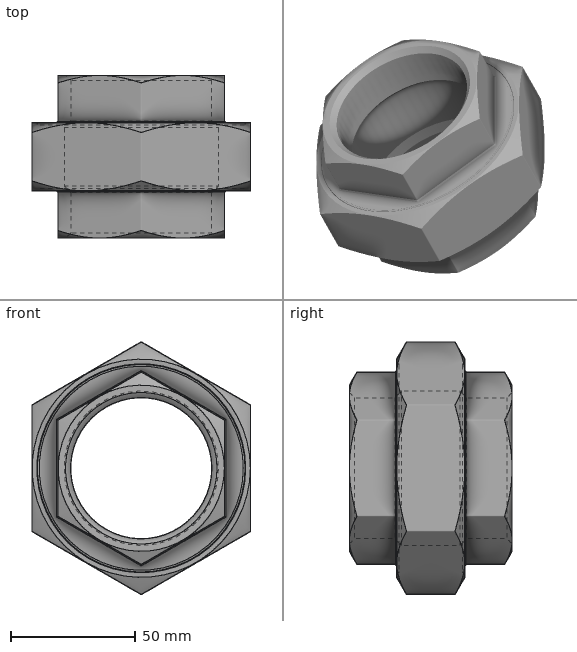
import cadquery as cq
import math

FLAT_RATIO = math.cos(math.pi / 6)

total_length = 65.5
nut_height = 101.5
corner_rounding = 0.4
hex_chamfer_angle = math.radians(30)

nut_across_flats = (nut_height - 2 * corner_rounding) * FLAT_RATIO + 2 * corner_rounding
nut_length = 27.5
nut_face_diameter = 87.7
nut_opening_diameter = 84.0

collar_diameter = 83.5
collar_face_diameter = 82.0
collar_rim_step = 0.1
collar_gap_depth = 1.0

end_across_flats = 67.0
end_face_diameter = 66.8
end_root_chamfer = 0.5
end_root_taper = 45

bore_diameter = 56.6
bore_mouth_diameter = 60.9
chamber_diameter = 62.0
chamber_length = 28.9


def revolved(profile):
    """Solid of revolution about Y from (radius, y) points."""
    return cq.Workplane("XY").polyline(profile).close().revolve(360, (0, 0), (0, 1))


def hex_prism(across_flats, y, length, taper=0):
    """Hexagonal prism from the given Y toward +Y, with corners at the top and bottom."""
    plane = cq.Plane(origin=(0, y, 0), xDir=(0, 0, 1), normal=(0, 1, 0))
    outline = cq.Workplane(plane).polygon(6, across_flats / FLAT_RATIO)
    return outline.extrude(length, taper=taper)


def chamfered_hex(across_flats, length, face_diameter):
    """Hexagonal prism centred on the origin, corners rounded and both ends turned to a cone."""
    corner_radius = across_flats / FLAT_RATIO / 2
    face_radius = face_diameter / 2
    half = length / 2
    shoulder = half - (corner_radius - face_radius) * math.tan(hex_chamfer_angle)
    turned = revolved([
        (0, -half),
        (face_radius, -half),
        (corner_radius, -shoulder),
        (corner_radius, shoulder),
        (face_radius, half),
        (0, half),
    ])
    prism = hex_prism(across_flats, -half, length).edges("|Y").fillet(corner_rounding)
    return prism.intersect(turned)


def collar_gap():
    """Material removed at the +Y nut face: the collar's rim step and the narrow gap around it."""
    face = nut_length / 2
    rim = face - collar_rim_step
    gap_floor = face - collar_gap_depth
    return revolved([
        (collar_face_diameter / 2, face),
        (collar_face_diameter / 2, rim),
        (collar_diameter / 2, rim),
        (collar_diameter / 2, gap_floor),
        (nut_opening_diameter / 2, gap_floor),
        (nut_opening_diameter / 2, face),
    ])


def end_root():
    """Flared foot of the +Y hexagonal end where it meets the collar."""
    foot_across_flats = end_across_flats + 2 * end_root_chamfer
    return hex_prism(foot_across_flats, nut_length / 2, end_root_chamfer, taper=end_root_taper)


def bore():
    """Through bore with chamfered mouths and a wider middle chamber between conical shoulders."""
    half = total_length / 2
    radius = bore_diameter / 2
    mouth_radius = bore_mouth_diameter / 2
    chamber_radius = chamber_diameter / 2
    mouth_end = half - (mouth_radius - radius)
    shoulder_start = chamber_length / 2
    shoulder_end = shoulder_start - (chamber_radius - radius)
    return revolved([
        (0, -half),
        (mouth_radius, -half),
        (radius, -mouth_end),
        (radius, -shoulder_start),
        (chamber_radius, -shoulder_end),
        (chamber_radius, shoulder_end),
        (radius, shoulder_start),
        (radius, mouth_end),
        (mouth_radius, half),
        (0, half),
    ])


nut = chamfered_hex(nut_across_flats, nut_length, nut_face_diameter)
ends = chamfered_hex(end_across_flats, total_length, end_face_diameter)

body = nut.cut(collar_gap()).cut(collar_gap().mirror("XZ"))
body = body.union(ends).union(end_root()).union(end_root().mirror("XZ"))
result = body.cut(bore())